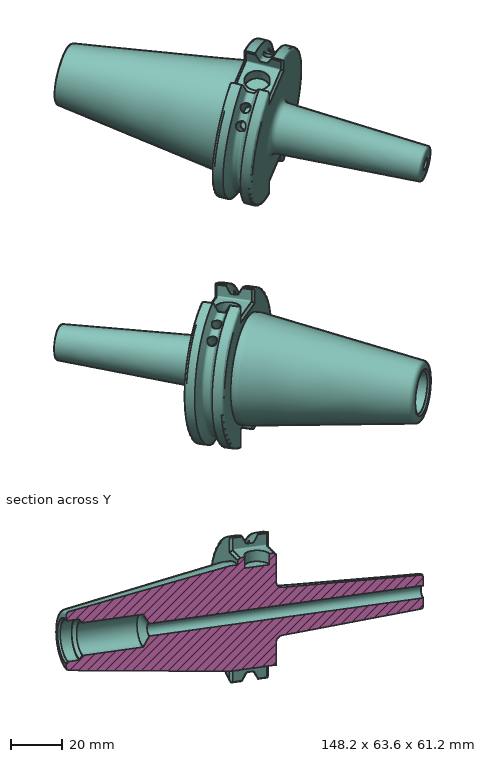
import cadquery as cq
import math

SHANK_END_X = -68.25
NOSE_END_X = 80.0

GAUGE_RADIUS = 44.45 / 2
TAPER_SLOPE = 7 / 24 / 2
SHANK_END_FILLET = 1.8

FLANGE_START_X = 2.95
FLANGE_END_X = 19.1
FLANGE_RADIUS = 63.55 / 2
FLANGE_FILLET = 1.0
GROOVE_CENTER_X = 11.1
GROOVE_RADIUS = 56.25 / 2
GROOVE_ROOT_WIDTH = 2.9
GROOVE_FLANK_ANGLE = 30.0
GROOVE_ROOT_FILLET = 1.0

NOSE_BASE_RADIUS = 10.15
NOSE_TIP_RADIUS = 7.15
NOSE_TIP_FILLET = 1.0
NOSE_ROOT_FILLET = 2.5

MOUTH_RADIUS = 9.3
COUNTERBORE_RADIUS = 17.0 / 2
COUNTERBORE_DEPTH = 5.5
THREAD_MAJOR_RADIUS = 8.2
THREAD_BORE_RADIUS = 13.546 / 2
THREAD_BORE_DEPTH = 32.0
BORE_CONE_HALF_ANGLE = 59.0
THROUGH_RADIUS = 2.5

SLOT_WIDTH = 16.1
UPPER_SLOT_FLOOR_Z = 25.0
LOWER_SLOT_FLOOR_Z = -22.2
SLOT_CORNER_FILLET = 0.6
SLOT_FACE_CHAMFER = 1.0
SLOT_RIM_CHAMFER = 0.46

POCKET_DIAMETER = 10.0
POCKET_DEPTH = 4.6

RADIAL_HOLE_DIAMETER = 4.0
RADIAL_HOLE_DEPTH = 8.0
RADIAL_HOLE_ANGLES = (30.0, 45.0)


def revolve_about_x(profile):
    return profile.close().revolve(360, (0, 0, 0), (1, 0, 0))


def make_shank():
    end_radius = GAUGE_RADIUS + TAPER_SLOPE * SHANK_END_X
    shank = revolve_about_x(
        cq.Workplane("XZ")
        .moveTo(SHANK_END_X, 0)
        .lineTo(SHANK_END_X, end_radius)
        .lineTo(0, GAUGE_RADIUS)
        .lineTo(FLANGE_START_X, GAUGE_RADIUS)
        .lineTo(FLANGE_START_X, 0)
    )
    return shank.faces("<X").edges().fillet(SHANK_END_FILLET)


def make_groove_cutter():
    half_root = GROOVE_ROOT_WIDTH / 2
    flank_height = FLANGE_RADIUS - GROOVE_RADIUS
    half_mouth = half_root + flank_height * math.tan(math.radians(GROOVE_FLANK_ANGLE))
    cutter = revolve_about_x(
        cq.Workplane("XZ")
        .moveTo(GROOVE_CENTER_X - half_mouth, FLANGE_RADIUS)
        .lineTo(GROOVE_CENTER_X - half_root, GROOVE_RADIUS)
        .lineTo(GROOVE_CENTER_X + half_root, GROOVE_RADIUS)
        .lineTo(GROOVE_CENTER_X + half_mouth, FLANGE_RADIUS)
    )
    root_edges = cq.selectors.RadiusNthSelector(0)
    return cutter.edges(root_edges).fillet(GROOVE_ROOT_FILLET)


def make_flange():
    flange = (
        cq.Workplane("YZ", origin=(FLANGE_START_X, 0, 0))
        .circle(FLANGE_RADIUS)
        .extrude(FLANGE_END_X - FLANGE_START_X)
        .edges("%CIRCLE")
        .fillet(FLANGE_FILLET)
    )
    return flange.cut(make_groove_cutter())


def make_nose():
    fillet_offset = NOSE_ROOT_FILLET * (1 - math.sqrt(0.5))
    nose = revolve_about_x(
        cq.Workplane("XZ")
        .moveTo(FLANGE_END_X, 0)
        .lineTo(FLANGE_END_X, NOSE_BASE_RADIUS + NOSE_ROOT_FILLET)
        .threePointArc(
            (FLANGE_END_X + fillet_offset, NOSE_BASE_RADIUS + fillet_offset),
            (FLANGE_END_X + NOSE_ROOT_FILLET, NOSE_BASE_RADIUS),
        )
        .lineTo(NOSE_END_X, NOSE_TIP_RADIUS)
        .lineTo(NOSE_END_X, 0)
    )
    return nose.faces(">X").edges().fillet(NOSE_TIP_FILLET)


def make_bore():
    mouth_depth = MOUTH_RADIUS - COUNTERBORE_RADIUS
    step_x = SHANK_END_X + COUNTERBORE_DEPTH
    step_end_x = step_x + THREAD_MAJOR_RADIUS - THREAD_BORE_RADIUS
    cone_x = SHANK_END_X + THREAD_BORE_DEPTH
    cone_drop = THREAD_BORE_RADIUS - THROUGH_RADIUS
    cone_length = cone_drop / math.tan(math.radians(BORE_CONE_HALF_ANGLE))
    return revolve_about_x(
        cq.Workplane("XZ")
        .moveTo(SHANK_END_X, 0)
        .lineTo(SHANK_END_X, MOUTH_RADIUS)
        .lineTo(SHANK_END_X + mouth_depth, COUNTERBORE_RADIUS)
        .lineTo(step_x, COUNTERBORE_RADIUS)
        .lineTo(step_x, THREAD_MAJOR_RADIUS)
        .lineTo(step_end_x, THREAD_BORE_RADIUS)
        .lineTo(cone_x, THREAD_BORE_RADIUS)
        .lineTo(cone_x + cone_length, THROUGH_RADIUS)
        .lineTo(NOSE_END_X, THROUGH_RADIUS)
        .lineTo(NOSE_END_X, 0)
    )


def make_slot_outline(x, half_width, floor_distance):
    """Closed rectangle at the given X, from the slot floor out to the flange rim."""
    corners = [
        cq.Vector(x, -half_width, floor_distance),
        cq.Vector(x, half_width, floor_distance),
        cq.Vector(x, half_width, FLANGE_RADIUS),
        cq.Vector(x, -half_width, FLANGE_RADIUS),
    ]
    return cq.Wire.makePolygon(corners, close=True)


def make_face_flare(face_x, inward, floor_distance, floor_chamfer):
    """Chamfer of the slot edges at one flange face; inward is the X sign into the flange."""
    half_width = SLOT_WIDTH / 2
    wide = make_slot_outline(face_x, half_width + SLOT_FACE_CHAMFER, floor_distance - floor_chamfer)
    narrow = make_slot_outline(face_x + inward * SLOT_FACE_CHAMFER, half_width, floor_distance)
    return cq.Workplane(cq.Solid.makeLoft([wide, narrow], True))


def make_rim_flare():
    """45 degree chamfer of the slot walls where they meet the flange rim."""
    half_width = SLOT_WIDTH / 2
    rim_half_width = half_width + SLOT_RIM_CHAMFER
    rim_z = math.sqrt(FLANGE_RADIUS**2 - rim_half_width**2)
    bottom_z = rim_z - SLOT_RIM_CHAMFER
    top_half_width = half_width + FLANGE_RADIUS - bottom_z
    return (
        cq.Workplane("YZ", origin=(FLANGE_START_X, 0, 0))
        .moveTo(-half_width, bottom_z)
        .lineTo(half_width, bottom_z)
        .lineTo(top_half_width, FLANGE_RADIUS)
        .lineTo(-top_half_width, FLANGE_RADIUS)
        .close()
        .extrude(FLANGE_END_X - FLANGE_START_X)
    )


def make_slot_cutter(floor_distance, floor_chamfer):
    """Slot open toward +Z, chamfered at both flange faces and at the flange rim."""
    flange_width = FLANGE_END_X - FLANGE_START_X
    slot_height = FLANGE_RADIUS - floor_distance
    cutter = (
        cq.Workplane("YZ", origin=(FLANGE_START_X, 0, floor_distance + slot_height / 2))
        .rect(SLOT_WIDTH, slot_height)
        .extrude(flange_width)
        .edges("|X and <Z")
        .fillet(SLOT_CORNER_FILLET)
    )
    for face_x, inward in ((FLANGE_START_X, 1), (FLANGE_END_X, -1)):
        cutter = cutter.union(make_face_flare(face_x, inward, floor_distance, floor_chamfer))
    return cutter.union(make_rim_flare())


def make_pocket():
    return (
        cq.Workplane("XY", origin=(GROOVE_CENTER_X, 0, UPPER_SLOT_FLOOR_Z))
        .circle(POCKET_DIAMETER / 2)
        .extrude(-POCKET_DEPTH)
    )


def make_radial_hole(angle):
    hole = (
        cq.Workplane("XY", origin=(GROOVE_CENTER_X, 0, GROOVE_RADIUS - RADIAL_HOLE_DEPTH))
        .circle(RADIAL_HOLE_DIAMETER / 2)
        .extrude(FLANGE_RADIUS - GROOVE_RADIUS + RADIAL_HOLE_DEPTH)
    )
    return hole.rotate((0, 0, 0), (1, 0, 0), angle)


result = make_shank().union(make_flange()).union(make_nose()).cut(make_bore())
result = result.cut(make_slot_cutter(UPPER_SLOT_FLOOR_Z, SLOT_FACE_CHAMFER))
lower_slot = make_slot_cutter(-LOWER_SLOT_FLOOR_Z, 0).rotate((0, 0, 0), (1, 0, 0), 180)
result = result.cut(lower_slot)
result = result.cut(make_pocket())
for hole_angle in RADIAL_HOLE_ANGLES:
    for side_sign in (1, -1):
        result = result.cut(make_radial_hole(side_sign * hole_angle))